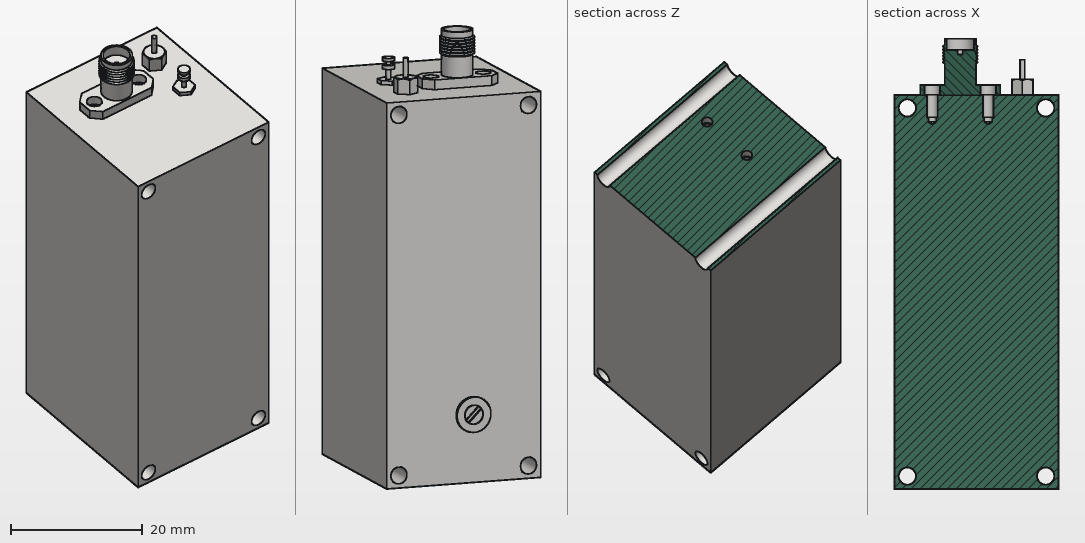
import cadquery as cq
import math

OVERALL_X = 28.5
OVERALL_Z = 68.5

TUNER_THICK = 0.5
TUNER_Y = -1.5
TUNER_Z = 10.6
TUNER_DIA = 5.5
TUNER_SCREW_DIA = 2.95
TUNER_RECESS = 0.15
TUNER_SLOT_WIDTH = 0.6
TUNER_SLOT_DEPTH = 0.4
TUNER_SLOT_ANGLE = -45

HOUSING_X = OVERALL_X - TUNER_THICK
HOUSING_Y = 25.0
HOUSING_Z = 59.95
MOUNT_HOLE_DIA = 2.6
MOUNT_HOLE_INSET = 2.0

CONNECTOR_Z = OVERALL_Z - HOUSING_Z
CONNECTOR_X = -4.5
CONNECTOR_Y = -2.5
FLANGE_X = 5.35
FLANGE_Y = 12.2
FLANGE_THICK = 1.5
FLANGE_CHAMFER = 1.45
FLANGE_HOLE_DIA = 2.3
FLANGE_HOLE_SPACING = 8.5
BARREL_DIA = 4.8
BARREL_BORE_DIA = 4.1
BARREL_BORE_DEPTH = 1.7
THREAD_DIA = 5.35
THREAD_PITCH = 0.5
THREAD_RIDGES = 6
THREAD_TOP_GAP = 0.95
CONTACT_HOLE_DIA = 0.75
CONTACT_HOLE_DEPTH = 0.7

THREAD_HOLE_DIA = 1.6
THREAD_HOLE_DEPTH = 3.4
DRILL_DIA = 1.15
DRILL_DEPTH = 4.1
DRILL_POINT_ANGLE = 118

TERMINAL_Y = 7.0

FEEDTHROUGH_X = -7.5
FEEDTHROUGH_FLATS = 3.2
FEEDTHROUGH_HEX_Z = 2.4
FEEDTHROUGH_CORNER_DROP = 0.2
FEEDTHROUGH_PIN_DIA = 0.75
FEEDTHROUGH_PIN_TOP = 5.35

TURRET_X = 0
TURRET_FLATS = 2.95
TURRET_HEX_Z = 0.6
TURRET_POST_DIA = 0.75
TURRET_COLLAR_DIA = 1.85
TURRET_COLLARS = [(2.25, 2.9), (3.5, 4.0)]


def cylinder(dia, bottom, top):
    """Upright cylinder on the Z axis between two heights."""
    return cq.Workplane("XY").workplane(offset=bottom).circle(dia / 2).extrude(top - bottom)


def hexagon(flats, height):
    """Hexagonal prism on Z = 0 with corners on the X axis."""
    return cq.Workplane("XY").polygon(6, flats / math.cos(math.pi / 6)).extrude(height)


def revolved(profile):
    """Solid of revolution about the Z axis from (radius, height) points."""
    return cq.Workplane("XZ").polyline(profile).close().revolve(360, (0, 0), (0, 1))


def screw_hole_cutter():
    """Tapped hole over a narrower drilled hole with a conical bottom, its mouth at Z = 0."""
    thread_radius = THREAD_HOLE_DIA / 2
    drill_radius = DRILL_DIA / 2
    tip = drill_radius / math.tan(math.radians(DRILL_POINT_ANGLE / 2))
    profile = [
        (0, 0),
        (thread_radius, 0),
        (thread_radius, -THREAD_HOLE_DEPTH),
        (drill_radius, -THREAD_HOLE_DEPTH),
        (drill_radius, -DRILL_DEPTH),
        (0, -DRILL_DEPTH - tip),
    ]
    return revolved(profile)


def make_housing():
    block = cq.Workplane("XY").box(HOUSING_X, HOUSING_Y, HOUSING_Z, centered=(True, True, False))
    block = (
        block.faces("<X")
        .workplane(centerOption="CenterOfBoundBox")
        .rect(HOUSING_Y - 2 * MOUNT_HOLE_INSET, HOUSING_Z - 2 * MOUNT_HOLE_INSET, forConstruction=True)
        .vertices()
        .hole(MOUNT_HOLE_DIA)
    )
    for side in (-1, 1):
        hole_y = CONNECTOR_Y + side * FLANGE_HOLE_SPACING / 2
        block = block.cut(screw_hole_cutter().translate((CONNECTOR_X, hole_y, HOUSING_Z)))
    return block


def thread_ridge(crest):
    """Ring with a V-shaped rim whose crest is at the given height."""
    root_radius = BARREL_DIA / 2
    bottom = crest - THREAD_PITCH / 2
    top = crest + THREAD_PITCH / 2
    profile = [
        (0, bottom),
        (root_radius, bottom),
        (THREAD_DIA / 2, crest),
        (root_radius, top),
        (0, top),
    ]
    return revolved(profile)


def make_connector():
    flange = (
        cq.Workplane("XY")
        .box(FLANGE_X, FLANGE_Y, FLANGE_THICK, centered=(True, True, False))
        .edges("|Z")
        .chamfer(FLANGE_CHAMFER)
        .faces(">Z")
        .workplane()
        .pushPoints([(0, -FLANGE_HOLE_SPACING / 2), (0, FLANGE_HOLE_SPACING / 2)])
        .hole(FLANGE_HOLE_DIA)
    )
    connector = flange.union(cylinder(BARREL_DIA, 0, CONNECTOR_Z))
    for ridge in range(THREAD_RIDGES):
        crest = CONNECTOR_Z - THREAD_TOP_GAP - (ridge + 0.5) * THREAD_PITCH
        connector = connector.union(thread_ridge(crest))
    floor = CONNECTOR_Z - BARREL_BORE_DEPTH
    connector = connector.cut(cylinder(BARREL_BORE_DIA, floor, CONNECTOR_Z))
    connector = connector.cut(cylinder(CONTACT_HOLE_DIA, floor - CONTACT_HOLE_DEPTH, floor))
    return connector.translate((CONNECTOR_X, CONNECTOR_Y, HOUSING_Z))


def make_feedthrough():
    body = hexagon(FEEDTHROUGH_FLATS, FEEDTHROUGH_HEX_Z)
    flat_radius = FEEDTHROUGH_FLATS / 2
    corner_radius = flat_radius / math.cos(math.pi / 6)
    shoulder = FEEDTHROUGH_HEX_Z - FEEDTHROUGH_CORNER_DROP
    trim = revolved(
        [
            (0, 0),
            (corner_radius, 0),
            (corner_radius, shoulder),
            (flat_radius, FEEDTHROUGH_HEX_Z),
            (0, FEEDTHROUGH_HEX_Z),
        ]
    )
    pin = cylinder(FEEDTHROUGH_PIN_DIA, 0, FEEDTHROUGH_PIN_TOP)
    return body.intersect(trim).union(pin).translate((FEEDTHROUGH_X, TERMINAL_Y, HOUSING_Z))


def make_turret():
    turret = hexagon(TURRET_FLATS, TURRET_HEX_Z)
    turret = turret.union(cylinder(TURRET_POST_DIA, 0, TURRET_COLLARS[-1][1]))
    for bottom, top in TURRET_COLLARS:
        turret = turret.union(cylinder(TURRET_COLLAR_DIA, bottom, top))
    return turret.translate((TURRET_X, TERMINAL_Y, HOUSING_Z))


def make_tuner():
    disc = cylinder(TUNER_DIA, 0, TUNER_THICK)
    disc = disc.cut(cylinder(TUNER_SCREW_DIA, TUNER_THICK - TUNER_RECESS, TUNER_THICK))
    slot = (
        cq.Workplane("XY")
        .workplane(offset=TUNER_THICK - TUNER_SLOT_DEPTH)
        .rect(TUNER_SCREW_DIA, TUNER_SLOT_WIDTH)
        .extrude(TUNER_SLOT_DEPTH)
        .rotate((0, 0, 0), (0, 0, 1), TUNER_SLOT_ANGLE)
        .intersect(cylinder(TUNER_SCREW_DIA, 0, TUNER_THICK))
    )
    return (
        disc.cut(slot)
        .rotate((0, 0, 0), (0, 1, 0), -90)
        .translate((-HOUSING_X / 2, TUNER_Y, TUNER_Z))
    )


housing = make_housing()
connector = make_connector()
feedthrough = make_feedthrough()
turret = make_turret()
tuner = make_tuner()

result = cq.Compound.makeCompound(
    [housing.val(), connector.val(), feedthrough.val(), turret.val(), tuner.val()]
)